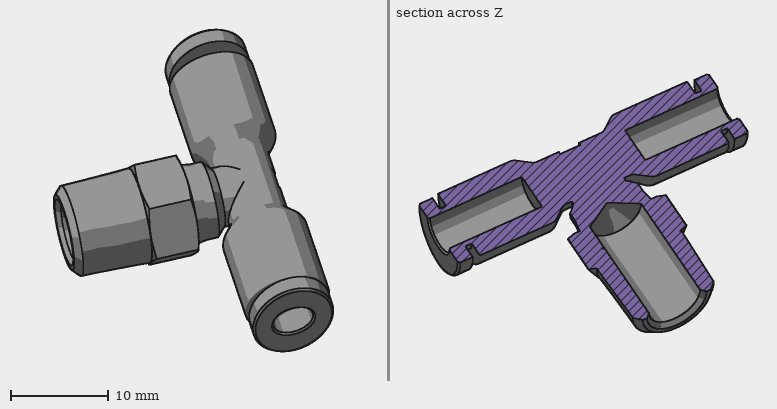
import cadquery as cq
import math


pipe_radius = 3.1
body_radius = 4.5
pipe_half_length = 3.7
body_end = 14.7
shoulder_angle = math.radians(38)
shoulder_blend = 1.0
body_end_fillet = 0.15

collar_neck_radius = 2.75
collar_inner_face = 15.4
run_half_length = 17.1
collar_width = 8.6
collar_height = 10.8
collar_chamfer = 0.22
tube_bore_radius = 2.13
tube_bore_mouth_chamfer = 0.2
tube_bore_depth = 11.0

flat_length = 2.35
flat_depth = 0.3

branch_cone_start = 3.42
branch_radius = 4.0
branch_cone_end = branch_cone_start + branch_radius - pipe_radius
flare_start = 5.42
flare_end = 6.55
flare_radius = 4.2
hex_start = 6.73
hex_end = 11.77
hex_across_flats = 10.0
hex_chamfer_inner_radius = 4.9
hex_chamfer_drop = 0.3

branch_end = 19.8
thread_tip_chamfer_length = 0.75
thread_tip_radius = 4.78
thread_taper = 1 / 16
thread_end_face_radius = 4.0
thread_bore_radius = 3.0
thread_bore_mouth_radius = 3.5
thread_bore_mouth_depth = 0.5
thread_bore_full_depth = 13.0
drill_point_angle = math.radians(118)


def make_socket():
    """Right socket: the blended shoulder rising from the pipe, then the socket body."""
    blend_length = shoulder_blend * math.sin(shoulder_angle)
    blend_rise = shoulder_blend * (1 - math.cos(shoulder_angle))
    half_blend_length = shoulder_blend * math.sin(shoulder_angle / 2)
    half_blend_rise = shoulder_blend * (1 - math.cos(shoulder_angle / 2))
    slope_rise = body_radius - pipe_radius - 2 * blend_rise
    slope_length = slope_rise / math.tan(shoulder_angle)

    slope_start = pipe_half_length + blend_length
    slope_end = slope_start + slope_length
    body_start = slope_end + blend_length
    profile = (
        cq.Workplane("XY")
        .moveTo(pipe_half_length, 0)
        .lineTo(pipe_half_length, pipe_radius)
        .threePointArc(
            (pipe_half_length + half_blend_length, pipe_radius + half_blend_rise),
            (slope_start, pipe_radius + blend_rise),
        )
        .lineTo(slope_end, body_radius - blend_rise)
        .threePointArc(
            (body_start - half_blend_length, body_radius - half_blend_rise),
            (body_start, body_radius),
        )
        .lineTo(body_end, body_radius)
        .lineTo(body_end, 0)
        .close()
    )
    return profile.revolve(360, (0, 0, 0), (1, 0, 0)).faces(">X").edges().fillet(body_end_fillet)


def make_collar():
    """Right release collar: a round neck carrying an oval flange."""
    neck = (
        cq.Workplane("YZ", origin=(body_end, 0, 0))
        .circle(collar_neck_radius)
        .extrude(collar_inner_face - body_end)
    )
    flange = (
        cq.Workplane("YZ", origin=(collar_inner_face, 0, 0))
        .ellipse(collar_width / 2, collar_height / 2)
        .extrude(run_half_length - collar_inner_face)
        .faces(">X")
        .edges()
        .chamfer(collar_chamfer)
    )
    return neck.union(flange)


def make_tube_bore():
    """Cutter for the right tube bore: flat-bottomed, with a chamfered mouth."""
    bore = (
        cq.Workplane("YZ", origin=(run_half_length, 0, 0))
        .circle(tube_bore_radius)
        .extrude(-tube_bore_depth)
    )
    mouth = cq.Solid.makeCone(
        tube_bore_radius + tube_bore_mouth_chamfer,
        tube_bore_radius,
        tube_bore_mouth_chamfer,
        cq.Vector(run_half_length, 0, 0),
        cq.Vector(-1, 0, 0),
    )
    return bore.union(cq.Workplane(mouth))


def make_pipe_flat():
    """Cutter for the flat on the +Y side of the pipe, wider than the chord it leaves."""
    flat_centre_y = pipe_radius - flat_depth / 2
    return cq.Workplane("XY", origin=(0, flat_centre_y, 0)).box(flat_length, flat_depth, 2 * pipe_radius)


def make_pipe():
    """Straight pipe between the two shoulders."""
    return (
        cq.Workplane("YZ", origin=(-pipe_half_length, 0, 0))
        .circle(pipe_radius)
        .extrude(2 * pipe_half_length)
    )


def revolve_about_branch(points):
    """Solid of revolution about Y from (radius, distance toward -Y) points."""
    outline = [(radius, -distance) for radius, distance in points]
    return cq.Workplane("XY").polyline(outline).close().revolve(360, (0, 0, 0), (0, 1, 0))


def make_branch_stem():
    """Stem between the run and the hexagon: pipe size, then a 45 degree cone and a slight flare."""
    return revolve_about_branch([
        (0, 0),
        (pipe_radius, 0),
        (pipe_radius, branch_cone_start),
        (branch_radius, branch_cone_end),
        (branch_radius, flare_start),
        (flare_radius, flare_end),
        (flare_radius, hex_start),
        (0, hex_start),
    ])


def make_hexagon():
    """Wrench hexagon with its corners along X, chamfered at both ends."""
    corner_radius = hex_across_flats / 2 / math.cos(math.radians(30))
    prism = (
        cq.Workplane("XZ", origin=(0, -hex_start, 0))
        .polygon(6, 2 * corner_radius)
        .extrude(hex_end - hex_start)
    )
    chamfer_envelope = revolve_about_branch([
        (0, hex_start),
        (hex_chamfer_inner_radius, hex_start),
        (corner_radius, hex_start + hex_chamfer_drop),
        (corner_radius, hex_end - hex_chamfer_drop),
        (hex_chamfer_inner_radius, hex_end),
        (0, hex_end),
    ])
    return prism.intersect(chamfer_envelope)


def make_thread():
    """Plain tapered body of the male thread, chamfered at the tip."""
    thread_tip = branch_end - thread_tip_chamfer_length
    thread_root_radius = thread_tip_radius + (thread_tip - hex_end) * thread_taper / 2
    return revolve_about_branch([
        (0, hex_end),
        (thread_root_radius, hex_end),
        (thread_tip_radius, thread_tip),
        (thread_end_face_radius, branch_end),
        (0, branch_end),
    ])


def make_thread_bore():
    """Cutter for the blind drilled bore in the thread."""
    bore_bottom = branch_end - thread_bore_full_depth
    point_height = thread_bore_radius / math.tan(drill_point_angle / 2)
    return revolve_about_branch([
        (0, branch_end),
        (thread_bore_mouth_radius, branch_end),
        (thread_bore_radius, branch_end - thread_bore_mouth_depth),
        (thread_bore_radius, bore_bottom),
        (0, bore_bottom - point_height),
    ])


def mirror_pair(right):
    """The right-hand shape together with its mirror image across the YZ plane."""
    return right.union(right.mirror("YZ"))


run_end = make_socket().union(make_collar())
run = make_pipe().union(mirror_pair(run_end))
branch = make_branch_stem().union(make_hexagon()).union(make_thread())

result = (
    run.union(branch)
    .cut(mirror_pair(make_tube_bore()))
    .cut(make_pipe_flat())
    .cut(make_thread_bore())
)